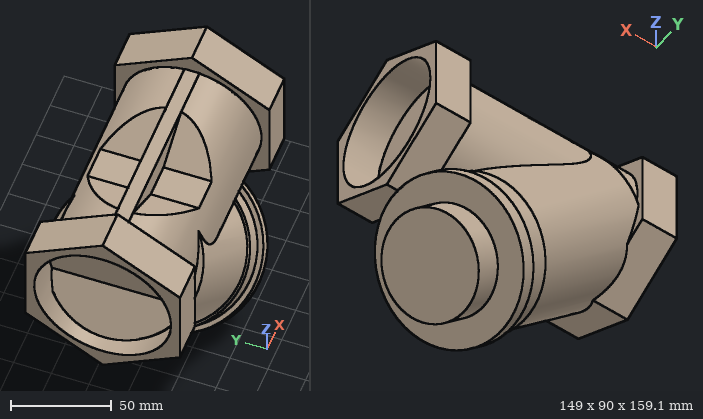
import cadquery as cq
import math

overall_length = 149.0
body_radius = 36.9
hex_across_corners = 94.8
hex_length = 21.3
socket_radius = 36.3
body_length = overall_length - 2 * hex_length
body_end_x = body_length / 2

rib_width = 8.0

notch_center_x = -7.3
notch_floor_width = 18.3
notch_floor_z = 22.1
notch_wall_angle = 30
notch_top_z = body_radius + 1.6

branch_start_x = -43.1
branch_angle = 45
branch_radius = 40.5
collar_radius = 42.0
flange_radius = 45.0
plug_radius = 29.5
collar_start = 88.3
flange_start = 103.2
flange_end = 111.8
plug_end = 128.5


def make_body():
    return cq.Workplane("YZ", origin=(-body_end_x, 0, 0)).circle(body_radius).extrude(body_length)


def cut_notch(body):
    half_floor = notch_floor_width / 2
    wall_run = (notch_top_z - notch_floor_z) / math.tan(math.radians(notch_wall_angle))
    half_top = half_floor + wall_run
    notch = (
        cq.Workplane("XZ")
        .polyline([
            (notch_center_x - half_floor, notch_floor_z),
            (notch_center_x + half_floor, notch_floor_z),
            (notch_center_x + half_top, notch_top_z),
            (notch_center_x - half_top, notch_top_z),
        ])
        .close()
        .extrude(body_radius, both=True)
    )
    return body.cut(notch)


def make_rib():
    return cq.Workplane("XY").box(body_length, rib_width, body_radius, centered=(True, True, False))


def make_hex_end(start_x):
    return (
        cq.Workplane("YZ", origin=(start_x, 0, 0))
        .transformed(rotate=(0, 0, 90))
        .polygon(6, hex_across_corners)
        .circle(socket_radius)
        .extrude(hex_length)
    )


def make_branch():
    angle = math.radians(branch_angle)
    axis_plane = cq.Plane(
        origin=(branch_start_x, 0, 0),
        xDir=(0, 1, 0),
        normal=(math.cos(angle), 0, -math.sin(angle)),
    )
    steps = [
        (0, collar_start, branch_radius),
        (collar_start, flange_start, collar_radius),
        (flange_start, flange_end, flange_radius),
        (flange_end, plug_end, plug_radius),
    ]
    branch = cq.Workplane(axis_plane)
    for start, end, radius in steps:
        step = cq.Workplane(axis_plane).workplane(offset=start).circle(radius).extrude(end - start)
        branch = branch.add(step)
    return branch.combine()


result = cut_notch(make_body().union(make_branch())).union(make_rib())
for hex_start_x in (-body_end_x - hex_length, body_end_x):
    result = result.union(make_hex_end(hex_start_x))